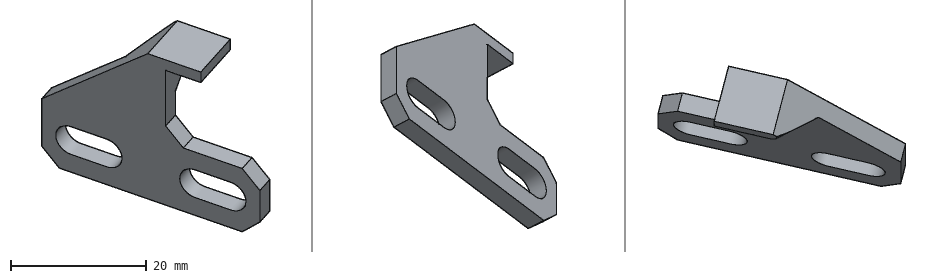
import cadquery as cq

length = 37.0
height = 27.5
plate_thickness = 3.0
base_height = 12.0
corner_chamfer = 3.0

tab_left = 18.0
tab_right = 26.97
tab_depth = 9.0
tab_thickness = 2.0
column_right = 21.0

slot_length = 11.2
slot_width = 5.2
slot_inset = 8.0
slot_height = 6.0

gusset_reach = tab_depth - plate_thickness
gusset_tip_radius = 1.0
gusset_root_radius = gusset_tip_radius + gusset_reach
gusset_tip_left = 17.45
gusset_axis_x = gusset_tip_left + gusset_tip_radius
gusset_axis_z = height - tab_thickness + gusset_tip_radius


def front_outline():
    """Outline of the plate, column and tab as seen from the front."""
    return (
        cq.Workplane("XZ")
        .moveTo(corner_chamfer, 0)
        .lineTo(length - corner_chamfer, 0)
        .lineTo(length, corner_chamfer)
        .lineTo(length, base_height - corner_chamfer)
        .lineTo(length - corner_chamfer, base_height)
        .lineTo(column_right + corner_chamfer, base_height)
        .lineTo(column_right, base_height + corner_chamfer)
        .lineTo(column_right, height - tab_thickness)
        .lineTo(tab_right, height - tab_thickness)
        .lineTo(tab_right, height)
        .lineTo(tab_left, height)
        .lineTo(0, base_height)
        .lineTo(0, corner_chamfer)
        .close()
    )


def tab_and_gusset():
    """Tab with a 45 degree gusset below it and on its left, joined by a cone."""
    tab = cq.Workplane("XY").box(
        tab_right - gusset_axis_x, tab_depth, tab_thickness, centered=False
    ).translate((gusset_axis_x, 0, height - tab_thickness))
    lower_wedge = (
        cq.Workplane("YZ", origin=(gusset_axis_x, 0, gusset_axis_z))
        .moveTo(plate_thickness, 0)
        .lineTo(tab_depth, 0)
        .lineTo(tab_depth, -gusset_tip_radius)
        .lineTo(plate_thickness, -gusset_root_radius)
        .close()
        .extrude(column_right - gusset_axis_x)
    )
    left_wedge = (
        cq.Workplane("XY", origin=(gusset_axis_x, 0, gusset_axis_z))
        .moveTo(0, plate_thickness)
        .lineTo(0, tab_depth)
        .lineTo(-gusset_tip_radius, tab_depth)
        .lineTo(-gusset_root_radius, plate_thickness)
        .close()
        .extrude(height - gusset_axis_z)
    )
    cone = cq.Workplane(
        cq.Solid.makeCone(
            gusset_root_radius,
            gusset_tip_radius,
            gusset_reach,
            pnt=cq.Vector(gusset_axis_x, plate_thickness, gusset_axis_z),
            dir=cq.Vector(0, 1, 0),
        )
    )
    gusset = lower_wedge.union(left_wedge).union(cone)
    return tab.union(gusset).intersect(front_outline().extrude(-tab_depth))


def slots():
    """Two horizontal slots, placed symmetrically in the base."""
    return (
        cq.Workplane("XZ")
        .pushPoints([(slot_inset, slot_height), (length - slot_inset, slot_height)])
        .slot2D(slot_length, slot_width)
        .extrude(-plate_thickness)
    )


plate = front_outline().extrude(-plate_thickness)
result = plate.union(tab_and_gusset()).cut(slots())